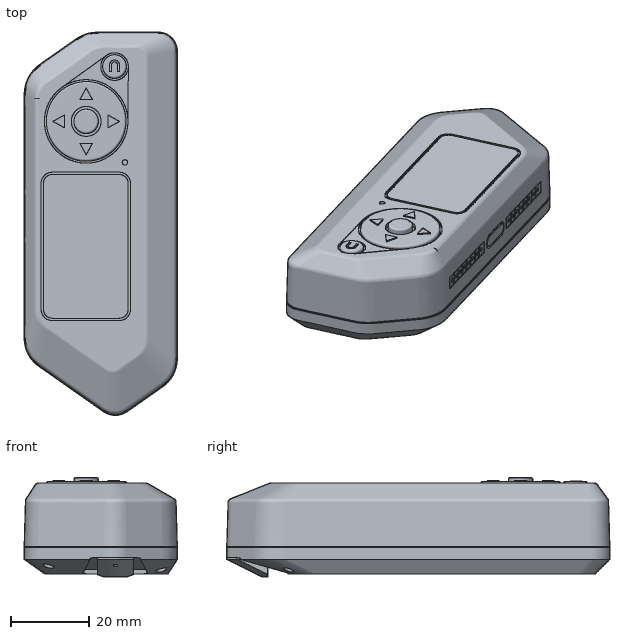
import cadquery as cq
import math

WALL_BOTTOM_Z = 3.8
SEAM_Z = 7.0
WALL_TOP_Z = 19.0
TOP_Z = 23.35
EDGE_RADIUS = 1.2

SLANT = math.radians(35)
HALF_WIDTH = 19.6
HALF_LENGTH = 49.1
TIP_X = 3.7
TIP_RADIUS = 5.2
TIP_Y = -HALF_LENGTH - TIP_RADIUS * (1 / math.cos(SLANT) - 1)
SHOULDER_Y = 38.0
WALL_DRAFT = 0.34

TOP_PLAN = (-16.5, 11.9, 45.5, 34.5, 3.0, -38.6)
UNDERSIDE_PLAN = (-14.2, 17.2, 45.2, 36.5, TIP_X, -38.2)

WALL_RADII = (9.5, 9.6, 4.9, 8.8, TIP_RADIUS, 8.8)
TOP_RADII = (4.9, 5.7, 2.6, 5.4, 2.7, 5.9)
BOTTOM_RADII = (4.9, 4.9, 3.9, 4.9, 2.9, 4.9)

SEAM_WIDTH = 0.3
SEAM_DEPTH = 0.2

PAD_X = -3.7
PAD_Y = 26.2
PAD_RADIUS = 10.2
BACK_X = 3.5
BACK_Y = 40.2
BACK_RADIUS = 3.0
BUTTON_GAP = 0.5
BUTTON_ROUND = 0.5
PANEL_DEPTH = 0.1
BUTTON_FLOOR_Z = TOP_Z - 0.6
PAD_TOP_Z = 23.7
ARROW_TOP_Z = 24.0
ARROW_TIP = 8.5
ARROW_BASE = 5.6
ARROW_HALF_WIDTH = 1.62
CENTER_RADIUS = 3.1
CENTER_HOLE_RADIUS = 3.8
CENTER_TOP_Z = 24.7
HOOK_RADIUS = 1.3
HOOK_WIDTH = 0.5
HOOK_LEG = 1.7
HOOK_Y = BACK_Y + 0.4
HOOK_HEIGHT = 0.1

SCREEN_X = -3.8
SCREEN_Y = -5.8
SCREEN_WIDTH = 22.9
SCREEN_LENGTH = 38.0
SCREEN_RADIUS = 2.8
SCREEN_GAP = 0.6
SCREEN_GAP_DEPTH = 0.4
LED_X = 6.2
LED_Y = 15.7
LED_RADIUS = 0.7
LED_DEPTH = 1

SIDE_Z = 12.95
HEADER_YS = (19.5, -15.4)
PIN_COUNT = 8
PIN_PITCH = 2.55
HEADER_LENGTH = 21.3
HEADER_HEIGHT = 3.0
HEADER_FACE_X = -19.3
PIN_GAP = 0.5
PIN_GAP_DEPTH = 0.5
PIN_HOLE = 0.8
PIN_HOLE_DEPTH = 3.9
PORT_Y = 2.1
PORT_LENGTH = 10.8
PORT_HEIGHT = 3.7
PORT_GAP = 0.5
PORT_DEPTH = 0.8

POCKET_ROOF_Z = 4.2
POCKET_FRONT_Y = -46.1
POCKET_BACK_Y = -33.4
POCKET_BACK_Z = 1.2
POCKET_BACK_HALF_WIDTH = 8.2
POCKET_FRONT_HALF_WIDTH = 5.9
POST_HALF_WIDTH = 4.6
POST_BACK_Y = -38.5
POST_BOTTOM_Z = -0.7
POST_TIP_RUN = 9.0
POST_RIDGE_RADIUS = 2.4
CORD_PIN_Y = -45.9
CORD_PIN_RADIUS = 0.5
SCREW_POINTS = ((-13.3, -32.7), (15.5, -33.2))
SCREW_RADIUS = 1.4
SCREW_TOP_Z = 5.9


def outline(z, left, right, top, shoulder_y, tip_x, tip_y, radii):
    """Closed wire of the six-sided plan with rounded corners at height z."""
    slope = math.tan(SLANT)
    corners = [
        (left, shoulder_y),
        (left + (top - shoulder_y) / slope, top),
        (right, top),
        (right, tip_y + (right - tip_x) * slope),
        (tip_x, tip_y),
        (left, tip_y + (tip_x - left) * slope),
    ]
    edges = []
    arcs = []
    for i, corner in enumerate(corners):
        here = cq.Vector(*corner, z)
        to_last = (cq.Vector(*corners[i - 1], z) - here).normalized()
        to_next = (cq.Vector(*corners[(i + 1) % len(corners)], z) - here).normalized()
        half_angle = to_last.getAngle(to_next) / 2
        reach = radii[i] / math.tan(half_angle)
        bulge = radii[i] * (1 / math.sin(half_angle) - 1)
        middle = here + (to_last + to_next).normalized() * bulge
        arcs.append((here + to_last * reach, middle, here + to_next * reach))
    for i, arc in enumerate(arcs):
        edges.append(cq.Edge.makeLine(arcs[i - 1][2], arc[0]))
        edges.append(cq.Edge.makeThreePointArc(*arc))
    return cq.Wire.assembleEdges(edges)


def wall_outline(z, inset):
    """Plan of the side wall moved inward by inset on every side."""
    slant_inset = inset / math.cos(SLANT)
    return outline(
        z,
        -HALF_WIDTH + inset,
        HALF_WIDTH - inset,
        HALF_LENGTH - inset,
        SHOULDER_Y - slant_inset + inset * math.tan(SLANT),
        TIP_X,
        TIP_Y + slant_inset,
        [radius - inset for radius in WALL_RADII],
    )


def ruled(lower, upper):
    return cq.Workplane(cq.Solid.makeLoft([lower, upper], True))


def disc(x, y, radius, z_bottom, z_top):
    return cq.Workplane(origin=(x, y, z_bottom)).circle(radius).extrude(z_top - z_bottom)


def make_shell():
    underside = outline(0, *UNDERSIDE_PLAN, BOTTOM_RADII)
    top_face = outline(TOP_Z, *TOP_PLAN, TOP_RADII)
    wall_foot = wall_outline(WALL_BOTTOM_Z, 0)
    seam = wall_outline(SEAM_Z, 0)
    wall_head = wall_outline(WALL_TOP_Z, WALL_DRAFT)
    upper = ruled(seam, wall_head).union(ruled(wall_head, top_face))
    shoulder_band = cq.selectors.BoxSelector(
        (-HALF_LENGTH, -HALF_LENGTH, WALL_TOP_Z - EDGE_RADIUS / 2),
        (HALF_LENGTH, HALF_LENGTH, WALL_TOP_Z + EDGE_RADIUS / 2),
    )
    soft_edges = upper.edges(shoulder_band).add(upper.faces(">Z").edges())
    upper = soft_edges.fillet(EDGE_RADIUS)
    lower = ruled(underside, wall_foot).union(ruled(wall_foot, seam))
    return upper.union(lower)


def cut_seam(body):
    z_bottom = SEAM_Z - SEAM_WIDTH / 2
    z_top = SEAM_Z + SEAM_WIDTH / 2
    core = ruled(wall_outline(z_bottom, SEAM_DEPTH), wall_outline(z_top, SEAM_DEPTH))
    band = cq.Workplane(origin=(0, 0, z_bottom)).rect(3 * HALF_WIDTH, 3 * HALF_LENGTH).extrude(SEAM_WIDTH)
    return body.cut(band.cut(core))


def button_panel(z_bottom, z_top):
    """Belt-shaped area wrapped round the pad and back button, each with its gap."""
    big = PAD_RADIUS + BUTTON_GAP
    small = BACK_RADIUS + BUTTON_GAP
    distance = math.hypot(BACK_X - PAD_X, BACK_Y - PAD_Y)
    heading = math.atan2(BACK_Y - PAD_Y, BACK_X - PAD_X)
    spread = math.acos((big - small) / distance)

    def on_circle(x, y, radius, angle):
        return (x + radius * math.cos(angle), y + radius * math.sin(angle))

    right = heading - spread
    left = heading + spread
    return (
        cq.Workplane(origin=(0, 0, z_bottom))
        .moveTo(*on_circle(PAD_X, PAD_Y, big, right))
        .lineTo(*on_circle(BACK_X, BACK_Y, small, right))
        .threePointArc(
            on_circle(BACK_X, BACK_Y, small, heading),
            on_circle(BACK_X, BACK_Y, small, left),
        )
        .lineTo(*on_circle(PAD_X, PAD_Y, big, left))
        .threePointArc(
            on_circle(PAD_X, PAD_Y, big, heading + math.pi),
            on_circle(PAD_X, PAD_Y, big, right),
        )
        .close()
        .extrude(z_top - z_bottom)
    )


def make_arrow(angle):
    points = [
        (ARROW_TIP, 0),
        (ARROW_BASE, ARROW_HALF_WIDTH),
        (ARROW_BASE, -ARROW_HALF_WIDTH),
    ]
    arrow = cq.Workplane().polyline(points).close().extrude(ARROW_TOP_Z - PAD_TOP_Z)
    return arrow.rotate((0, 0, 0), (0, 0, 1), angle).translate((PAD_X, PAD_Y, PAD_TOP_Z))


def make_hook():
    """Raised arch with two legs on the back button."""
    outer = HOOK_RADIUS
    inner = HOOK_RADIUS - HOOK_WIDTH
    return (
        cq.Workplane(origin=(BACK_X, HOOK_Y, PAD_TOP_Z))
        .moveTo(outer, -HOOK_LEG)
        .lineTo(outer, 0)
        .threePointArc((0, outer), (-outer, 0))
        .lineTo(-outer, -HOOK_LEG)
        .lineTo(-inner, -HOOK_LEG)
        .lineTo(-inner, 0)
        .threePointArc((0, inner), (inner, 0))
        .lineTo(inner, -HOOK_LEG)
        .close()
        .extrude(HOOK_HEIGHT)
    )


def button(x, y, radius, z_top):
    """Round button with a softened top edge, standing on the gap floor."""
    return disc(x, y, radius, BUTTON_FLOOR_Z, z_top).faces(">Z").edges().fillet(BUTTON_ROUND)


def add_buttons(body):
    body = body.cut(button_panel(TOP_Z - PANEL_DEPTH, TOP_Z))
    for x, y, radius in ((PAD_X, PAD_Y, PAD_RADIUS), (BACK_X, BACK_Y, BACK_RADIUS)):
        body = body.cut(disc(x, y, radius + BUTTON_GAP, BUTTON_FLOOR_Z, TOP_Z))
        body = body.union(button(x, y, radius, PAD_TOP_Z))
    body = body.cut(disc(PAD_X, PAD_Y, CENTER_HOLE_RADIUS, BUTTON_FLOOR_Z, PAD_TOP_Z))
    body = body.union(button(PAD_X, PAD_Y, CENTER_RADIUS, CENTER_TOP_Z))
    for quarter in range(4):
        body = body.union(make_arrow(90 * quarter))
    return body.union(make_hook())


def cut_screen(body):
    def plate(margin):
        return (
            cq.Workplane(origin=(SCREEN_X, SCREEN_Y, TOP_Z - SCREEN_GAP_DEPTH))
            .rect(SCREEN_WIDTH - 2 * margin, SCREEN_LENGTH - 2 * margin)
            .extrude(SCREEN_GAP_DEPTH)
            .edges("|Z")
            .fillet(SCREEN_RADIUS - margin)
        )

    body = body.cut(plate(0).cut(plate(SCREEN_GAP)))
    return body.cut(disc(LED_X, LED_Y, LED_RADIUS, TOP_Z - LED_DEPTH, TOP_Z))


def side_block(y, length, height, depth):
    """Box that reaches from outside the left wall to depth below the header face."""
    x_outer = -HALF_WIDTH
    x_inner = HEADER_FACE_X + depth
    return cq.Workplane("XY").box(x_inner - x_outer, length, height).translate(
        ((x_inner + x_outer) / 2, y, SIDE_Z)
    )


def cut_headers(body):
    for header_y in HEADER_YS:
        body = body.cut(side_block(header_y, HEADER_LENGTH, HEADER_HEIGHT, 0))
        for i in range(PIN_COUNT):
            pin_y = header_y + (i - (PIN_COUNT - 1) / 2) * PIN_PITCH
            body = body.cut(side_block(pin_y, PIN_HOLE, PIN_HOLE, PIN_HOLE_DEPTH))
            if i > 0:
                gap_y = pin_y - PIN_PITCH / 2
                body = body.cut(side_block(gap_y, PIN_GAP, HEADER_HEIGHT, PIN_GAP_DEPTH))
    return body


def cut_port(body):
    def plug(margin):
        return (
            cq.Workplane("YZ", origin=(-HALF_WIDTH, PORT_Y, SIDE_Z))
            .slot2D(PORT_LENGTH - 2 * margin, PORT_HEIGHT - 2 * margin)
            .extrude(PORT_DEPTH)
        )

    return body.cut(plug(0).cut(plug(PORT_GAP)))


def make_post():
    """Wedge with a rounded ridge that hangs below the pointed end."""
    tip_y = -HALF_LENGTH - POST_RIDGE_RADIUS * (1 / math.cos(SLANT) - 1)

    def section(z, run):
        sides = (-HALF_WIDTH, HALF_WIDTH, HALF_LENGTH, SHOULDER_Y)
        return outline(z, *sides, TIP_X, tip_y + run, [POST_RIDGE_RADIUS] * 6)

    wedge = ruled(section(POST_BOTTOM_Z, POST_TIP_RUN), section(WALL_BOTTOM_Z, 0))
    wedge = wedge.union(ruled(section(WALL_BOTTOM_Z, 0), section(POCKET_ROOF_Z, 0)))
    length = HALF_LENGTH + POST_BACK_Y
    keep = (
        cq.Workplane(origin=(TIP_X, POST_BACK_Y - length / 2, POST_BOTTOM_Z))
        .rect(2 * POST_HALF_WIDTH, length)
        .extrude(POCKET_ROOF_Z - POST_BOTTOM_Z)
    )
    return wedge.intersect(keep)


def add_lanyard_post(body):
    plan = [
        (TIP_X - POCKET_BACK_HALF_WIDTH, POCKET_BACK_Y),
        (TIP_X + POCKET_BACK_HALF_WIDTH, POCKET_BACK_Y),
        (TIP_X + POCKET_FRONT_HALF_WIDTH, -HALF_LENGTH),
        (TIP_X - POCKET_FRONT_HALF_WIDTH, -HALF_LENGTH),
    ]
    profile = [
        (POCKET_BACK_Y, 0),
        (POCKET_BACK_Y, POCKET_BACK_Z),
        (POCKET_FRONT_Y, POCKET_ROOF_Z),
        (-HALF_LENGTH, POCKET_ROOF_Z),
        (-HALF_LENGTH, 0),
    ]
    column = cq.Workplane().polyline(plan).close().extrude(POCKET_ROOF_Z)
    wedge = cq.Workplane("YZ").polyline(profile).close().extrude(HALF_WIDTH, both=True)
    body = body.cut(column.intersect(wedge)).union(make_post())
    return body.cut(disc(TIP_X, CORD_PIN_Y, CORD_PIN_RADIUS, POST_BOTTOM_Z, SCREW_TOP_Z))


def cut_screw_holes(body):
    for x, y in SCREW_POINTS:
        body = body.cut(disc(x, y, SCREW_RADIUS, 0, SCREW_TOP_Z))
    return body


shell = cut_seam(make_shell())
topside = cut_screen(add_buttons(shell))
sides = cut_port(cut_headers(topside))
result = cut_screw_holes(add_lanyard_post(sides))